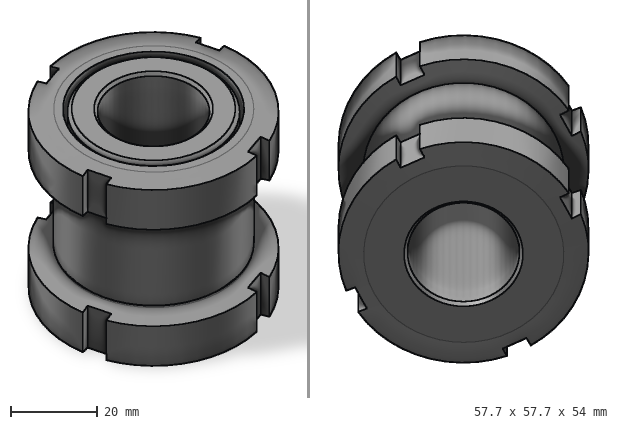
import cadquery as cq
import math

total_height = 54.0
overall_width = 57.7
face_radius = 23.2
flange_height = 13.5
outer_slope_rise = 0.7
inner_slope_rise = 0.9

slot_width = 6.2
slot_floor_radius = 26.55
slot_count = 4

flange_radius = math.hypot(overall_width / 2, slot_width / 2)

bore_radius = 13.0
bore_chamfer = 0.8
stud_radius = 19.95
stud_chamfer = 1.0
sleeve_bore_radius = 21.0
sleeve_radius = 23.3
sleeve_bottom = flange_height
sleeve_chamfer = 0.65


def revolve_profile(points):
    """Turn a closed (radius, height) outline about the Z axis."""
    return cq.Workplane("XZ").polyline(points).close().revolve(360, (0, 0, 0), (0, 1, 0))


def cut_wrench_slots(body, z_bottom):
    """Cut the evenly spaced wrench slots through the rim of one flange."""
    slot_length = flange_radius
    for index in range(slot_count):
        slot = (
            cq.Workplane("XY", origin=(0, 0, z_bottom))
            .center(slot_floor_radius + slot_length / 2, 0)
            .rect(slot_length, slot_width)
            .extrude(flange_height)
            .rotate((0, 0, 0), (0, 0, 1), index * 360 / slot_count)
        )
        body = body.cut(slot)
    return body


def make_base():
    """Lower flange with a hollow stud that reaches the top of the sleeve."""
    base = revolve_profile([
        (bore_radius + bore_chamfer, 0),
        (face_radius, 0),
        (flange_radius, outer_slope_rise),
        (flange_radius, flange_height - inner_slope_rise),
        (face_radius, flange_height),
        (stud_radius, flange_height),
        (stud_radius, total_height - stud_chamfer),
        (stud_radius - stud_chamfer, total_height),
        (bore_radius + bore_chamfer, total_height),
        (bore_radius, total_height - bore_chamfer),
        (bore_radius, bore_chamfer),
    ])
    return cut_wrench_slots(base, 0)


def make_sleeve():
    """Upper flange and sleeve around the stud, with a plain clearance bore."""
    flange_bottom = total_height - flange_height
    sleeve = revolve_profile([
        (sleeve_bore_radius, sleeve_bottom),
        (sleeve_radius - sleeve_chamfer, sleeve_bottom),
        (sleeve_radius, sleeve_bottom + sleeve_chamfer),
        (sleeve_radius, flange_bottom),
        (flange_radius, flange_bottom + inner_slope_rise),
        (flange_radius, total_height - outer_slope_rise),
        (face_radius, total_height),
        (sleeve_bore_radius, total_height),
    ])
    return cut_wrench_slots(sleeve, flange_bottom)


base = make_base()
sleeve = make_sleeve()
result = cq.Compound.makeCompound([base.val(), sleeve.val()])